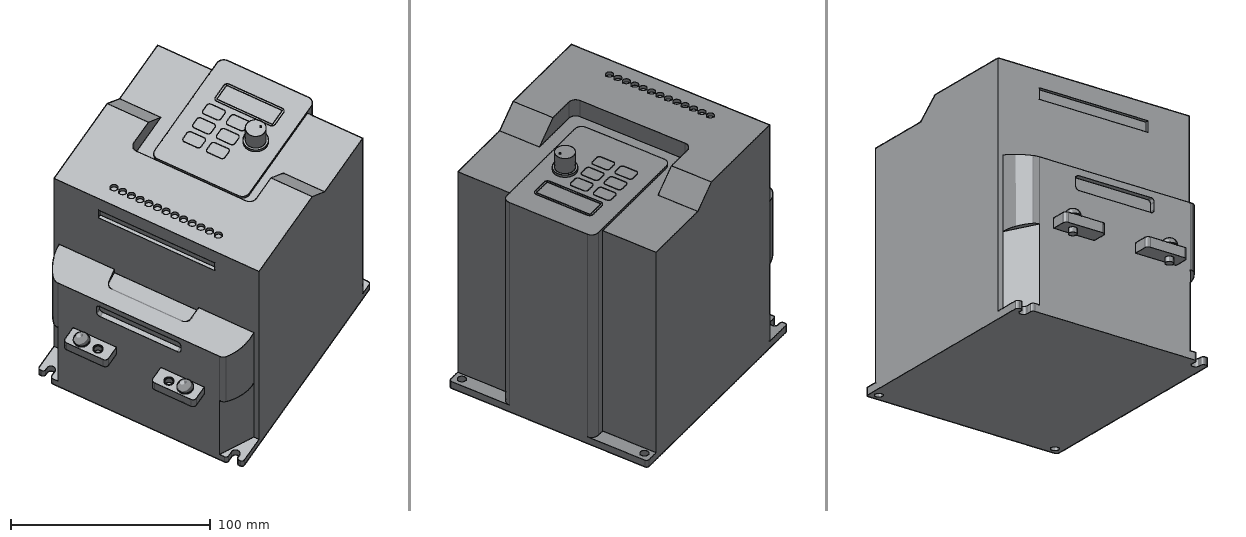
import cadquery as cq
import math


WIDTH = 118.0
HOUSING_FRONT = 113.0
COVER_FRONT = 131.0
TOTAL_DEPTH = 141.0
TOTAL_HEIGHT = 146.2

PLATE_THICKNESS = 4.4
PLATE_CORNER_RADIUS = 1.5
PLATE_HOLE_DIAMETER = 4.5
PLATE_HOLE_X = 54.3
PLATE_HOLE_INSET = 4.5
SLOT_WIDTH = 4.45
SLOT_X = 53.1
SLOT_END = 124.2
TAB_END = 129.3

HOUSING_BACK = 8.0
HOUSING_HEIGHT = 144.0
SHOULDER_HEIGHT = 133.6
SHOULDER_END = 46.6
RAMP_END = 59.1
KEYPAD_HEIGHT = 135.0
KEYPAD_WIDTH = 54.4
KEYPAD_END = 70.9
KEYPAD_RADIUS = 4.0
RECESS_WIDTH = 70.5
RECESS_END = 77.8
RECESS_RADIUS = 4.0

RELIEF = 0.2
BUTTON_WIDTH = 10.4
BUTTON_LENGTH = 7.1
BUTTON_RADIUS = 1.6
BUTTON_COLUMNS = (-13.3, 0.4)
BUTTON_FIRST_ROW = 31.5
BUTTON_ROW_PITCH = 10.0
BUTTON_ROWS = 3
BEZEL_WIDTH = 34.4
BEZEL_LENGTH = 12.4
BEZEL_RADIUS = 2.0
BEZEL_BORDER = 1.2
BEZEL_Y = 18.8
KNOB_X = 14.0
KNOB_Y = 37.2
KNOB_FLANGE_DIAMETER = 12.8
KNOB_FLANGE_THICKNESS = 1.5
KNOB_DIAMETER = 10.5
POINTER_DIAMETER = 0.83
POINTER_DEPTH = 0.5
POINTER_OFFSET = (1.6, 2.2)

LAMP_COUNT = 13
LAMP_PITCH = 5.0
LAMP_DIAMETER = 4.0
LAMP_Y = 103.2
LAMP_DEPTH = 2.0

VENT_WIDTH = 67.0
VENT_BOTTOM = 128.0
VENT_HEIGHT = 6.4
VENT_DEPTH = 2.0

COVER_ROOT_HALF_WIDTH = 56.0
COVER_FACE_HALF_WIDTH = 46.5
COVER_BOTTOM = 49.0
COVER_TOP_REAR = 91.2
COVER_TOP_FRONT = 86.0
COVER_SLOPE = (COVER_TOP_REAR - COVER_TOP_FRONT) / (COVER_FRONT - HOUSING_FRONT)
COVER_SIDE_POINT = (54.7, 121.4)
COVER_CORNER_START = (49.6, 129.8)
COVER_CORNER_POINT = (48.2, 130.7)
GRIP_WIDTH = 48.5
GRIP_END = 122.6
GRIP_TAPER = 1.0
GRIP_RADIUS = 3.5
GRIP_FLOOR = COVER_TOP_REAR - COVER_SLOPE * (GRIP_END - HOUSING_FRONT)
LABEL_WIDTH = 48.4
LABEL_BOTTOM = 74.0
LABEL_HEIGHT = 8.2
LABEL_RADIUS = 2.0
LABEL_DEPTH = 3.0

TERMINAL_X = 25.25
TERMINAL_WIDTH = 25.0
TERMINAL_BOTTOM = 49.0
TERMINAL_TOP = 54.7
TERMINAL_RADIUS = 2.0
TERMINAL_HOLE_X = 20.4
TERMINAL_RIM_DIAMETER = 4.99
TERMINAL_RIM_DEPTH = 0.5
TERMINAL_HOLE_DIAMETER = 4.0
TERMINAL_HOLE_DEPTH = 4.0
SCREW_X = 29.8
SCREW_Y = 136.3
SCREW_SHANK_DIAMETER = 4.45
SCREW_SHANK_LENGTH = 3.0
SCREW_NECK_DIAMETER = 7.5
SCREW_NECK_HEIGHT = 1.0
SCREW_HEAD_DIAMETER = 8.5
SCREW_HEAD_HEIGHT = 5.0
SCREW_TIP_DIAMETER = 0.83


def block(width, rear, front, bottom, top, x=0.0):
    """Box centred on x, between two distances from the rear edge and two heights."""
    return (
        cq.Workplane("XY")
        .box(width, front - rear, top - bottom, centered=(True, False, False))
        .translate((x, -front, bottom))
    )


def cylinder(diameter, x, distance, bottom, top):
    return (
        cq.Workplane("XY", origin=(x, -distance, bottom))
        .circle(diameter / 2)
        .extrude(top - bottom)
    )


def make_plate():
    slot_center = SLOT_END + SLOT_WIDTH / 2
    strip_width = 2 * SLOT_X - SLOT_WIDTH
    tab_width = (WIDTH - strip_width) / 2 - SLOT_WIDTH
    tab_x = (WIDTH - tab_width) / 2
    plate = block(WIDTH, 0, slot_center, 0, PLATE_THICKNESS)
    plate = plate.edges("|Z and >Y").fillet(PLATE_CORNER_RADIUS)
    strip = block(strip_width, slot_center, COVER_FRONT, 0, PLATE_THICKNESS)
    plate = plate.union(strip.edges("|Z and <Y").fillet(PLATE_CORNER_RADIUS))
    for side in (-1, 1):
        tab = block(tab_width, slot_center, TAB_END, 0, PLATE_THICKNESS, side * tab_x)
        plate = plate.union(tab.edges("|Z and <Y").fillet(PLATE_CORNER_RADIUS))
        plate = plate.cut(cylinder(SLOT_WIDTH, side * SLOT_X, slot_center, 0, PLATE_THICKNESS))
        plate = plate.cut(
            cylinder(PLATE_HOLE_DIAMETER, side * PLATE_HOLE_X, PLATE_HOLE_INSET, 0, PLATE_THICKNESS)
        )
    return plate


def make_housing():
    profile = [
        (-HOUSING_BACK, 0),
        (-HOUSING_FRONT, 0),
        (-HOUSING_FRONT, HOUSING_HEIGHT),
        (-RAMP_END, HOUSING_HEIGHT),
        (-SHOULDER_END, SHOULDER_HEIGHT),
        (-HOUSING_BACK, SHOULDER_HEIGHT),
    ]
    housing = cq.Workplane("YZ").polyline(profile).close().extrude(WIDTH / 2, both=True)
    recess = block(RECESS_WIDTH, 0, RECESS_END, SHOULDER_HEIGHT, HOUSING_HEIGHT)
    recess = recess.edges("|Z and <Y").fillet(RECESS_RADIUS)
    vent = block(
        VENT_WIDTH, HOUSING_FRONT - VENT_DEPTH, HOUSING_FRONT, VENT_BOTTOM, VENT_BOTTOM + VENT_HEIGHT
    )
    housing = housing.cut(recess).cut(vent)
    for index in range(LAMP_COUNT):
        x = (index - (LAMP_COUNT - 1) / 2) * LAMP_PITCH
        housing = housing.cut(
            cylinder(LAMP_DIAMETER, x, LAMP_Y, HOUSING_HEIGHT - LAMP_DEPTH, HOUSING_HEIGHT)
        )
    return housing


def raised_pad(width, length, radius, x, distance):
    pad = block(
        width, distance - length / 2, distance + length / 2, KEYPAD_HEIGHT, KEYPAD_HEIGHT + RELIEF, x
    )
    return pad.edges("|Z").fillet(radius)


def make_keypad():
    keypad = block(KEYPAD_WIDTH, 0, KEYPAD_END, PLATE_THICKNESS, KEYPAD_HEIGHT)
    keypad = keypad.edges("|Z").fillet(KEYPAD_RADIUS)
    for x in BUTTON_COLUMNS:
        for row in range(BUTTON_ROWS):
            distance = BUTTON_FIRST_ROW + row * BUTTON_ROW_PITCH
            keypad = keypad.union(raised_pad(BUTTON_WIDTH, BUTTON_LENGTH, BUTTON_RADIUS, x, distance))
    window = block(
        BEZEL_WIDTH - 2 * BEZEL_BORDER,
        BEZEL_Y - BEZEL_LENGTH / 2 + BEZEL_BORDER,
        BEZEL_Y + BEZEL_LENGTH / 2 - BEZEL_BORDER,
        KEYPAD_HEIGHT,
        KEYPAD_HEIGHT + RELIEF,
    )
    bezel = raised_pad(BEZEL_WIDTH, BEZEL_LENGTH, BEZEL_RADIUS, 0, BEZEL_Y).cut(window)
    return keypad.union(bezel)


def make_knob():
    flange_top = KEYPAD_HEIGHT + KNOB_FLANGE_THICKNESS
    flange = cylinder(KNOB_FLANGE_DIAMETER, KNOB_X, KNOB_Y, KEYPAD_HEIGHT, flange_top)
    grip = cylinder(KNOB_DIAMETER, KNOB_X, KNOB_Y, flange_top, TOTAL_HEIGHT)
    pointer = cylinder(
        POINTER_DIAMETER,
        KNOB_X + POINTER_OFFSET[0],
        KNOB_Y - POINTER_OFFSET[1],
        TOTAL_HEIGHT - POINTER_DEPTH,
        TOTAL_HEIGHT,
    )
    return flange.union(grip).cut(pointer)


def make_cover():
    root = COVER_ROOT_HALF_WIDTH
    face = COVER_FACE_HALF_WIDTH
    lower = (
        cq.Workplane("XY")
        .polyline([
            (-root, -HOUSING_FRONT),
            (-face, -COVER_FRONT),
            (face, -COVER_FRONT),
            (root, -HOUSING_FRONT),
        ])
        .close()
        .extrude(COVER_BOTTOM)
    )

    def right(point):
        return (point[0], -point[1])

    def left(point):
        return (-point[0], -point[1])

    upper = (
        cq.Workplane("XY", origin=(0, 0, COVER_BOTTOM))
        .moveTo(root, -HOUSING_FRONT)
        .threePointArc(right(COVER_SIDE_POINT), right(COVER_CORNER_START))
        .threePointArc(right(COVER_CORNER_POINT), (face, -COVER_FRONT))
        .lineTo(-face, -COVER_FRONT)
        .threePointArc(left(COVER_CORNER_POINT), left(COVER_CORNER_START))
        .threePointArc(left(COVER_SIDE_POINT), (-root, -HOUSING_FRONT))
        .close()
        .extrude(COVER_TOP_REAR - COVER_BOTTOM)
    )
    slope = (
        cq.Workplane("YZ")
        .polyline([
            (-HOUSING_FRONT, COVER_TOP_REAR),
            (-HOUSING_FRONT, HOUSING_HEIGHT),
            (-TOTAL_DEPTH, HOUSING_HEIGHT),
            (-TOTAL_DEPTH, COVER_TOP_REAR - COVER_SLOPE * (TOTAL_DEPTH - HOUSING_FRONT)),
        ])
        .close()
        .extrude(WIDTH / 2, both=True)
    )
    grip = (
        cq.Workplane("XY", origin=(0, 0, GRIP_FLOOR))
        .polyline([
            (-GRIP_WIDTH / 2, -HOUSING_FRONT),
            (-GRIP_WIDTH / 2 + GRIP_TAPER, -GRIP_END),
            (GRIP_WIDTH / 2 - GRIP_TAPER, -GRIP_END),
            (GRIP_WIDTH / 2, -HOUSING_FRONT),
        ])
        .close()
        .extrude(COVER_TOP_REAR - GRIP_FLOOR)
        .edges("|Z and <Y")
        .fillet(GRIP_RADIUS)
    )
    label = block(
        LABEL_WIDTH, COVER_FRONT - LABEL_DEPTH, COVER_FRONT, LABEL_BOTTOM, LABEL_BOTTOM + LABEL_HEIGHT
    )
    label = label.edges("|Y").fillet(LABEL_RADIUS)
    return lower.union(upper).cut(slope).cut(grip).cut(label)


def make_screw(x):
    """Domed screw standing on a terminal, its shank end showing below."""
    dome_height = SCREW_HEAD_HEIGHT - SCREW_NECK_HEIGHT
    head_radius = SCREW_HEAD_DIAMETER / 2
    tip_radius = SCREW_TIP_DIAMETER / 2
    bulge = math.sqrt(0.5)
    head = (
        cq.Workplane("XZ")
        .moveTo(0, 0)
        .lineTo(SCREW_NECK_DIAMETER / 2, 0)
        .lineTo(SCREW_NECK_DIAMETER / 2, SCREW_NECK_HEIGHT)
        .lineTo(head_radius, SCREW_NECK_HEIGHT)
        .threePointArc(
            (head_radius * bulge, SCREW_NECK_HEIGHT + dome_height * bulge),
            (tip_radius, SCREW_HEAD_HEIGHT),
        )
        .lineTo(0, SCREW_HEAD_HEIGHT)
        .close()
        .revolve(360, (0, 0), (0, 1))
        .translate((x, -SCREW_Y, TERMINAL_TOP))
    )
    shank = cylinder(
        SCREW_SHANK_DIAMETER, x, SCREW_Y, TERMINAL_BOTTOM - SCREW_SHANK_LENGTH, TERMINAL_BOTTOM
    )
    return head.union(shank)


def make_terminal(side):
    terminal = block(
        TERMINAL_WIDTH, COVER_FRONT, TOTAL_DEPTH, TERMINAL_BOTTOM, TERMINAL_TOP, side * TERMINAL_X
    )
    terminal = terminal.edges("|Z and <Y").fillet(TERMINAL_RADIUS)
    hole_x = side * TERMINAL_HOLE_X
    rim_bottom = TERMINAL_TOP - TERMINAL_RIM_DEPTH
    hole_bottom = TERMINAL_TOP - TERMINAL_HOLE_DEPTH
    terminal = terminal.cut(cylinder(TERMINAL_RIM_DIAMETER, hole_x, SCREW_Y, rim_bottom, TERMINAL_TOP))
    terminal = terminal.cut(cylinder(TERMINAL_HOLE_DIAMETER, hole_x, SCREW_Y, hole_bottom, TERMINAL_TOP))
    return terminal.union(make_screw(side * SCREW_X))


result = make_plate().union(make_housing()).union(make_keypad()).union(make_knob()).union(make_cover())
for terminal_side in (-1, 1):
    result = result.union(make_terminal(terminal_side))